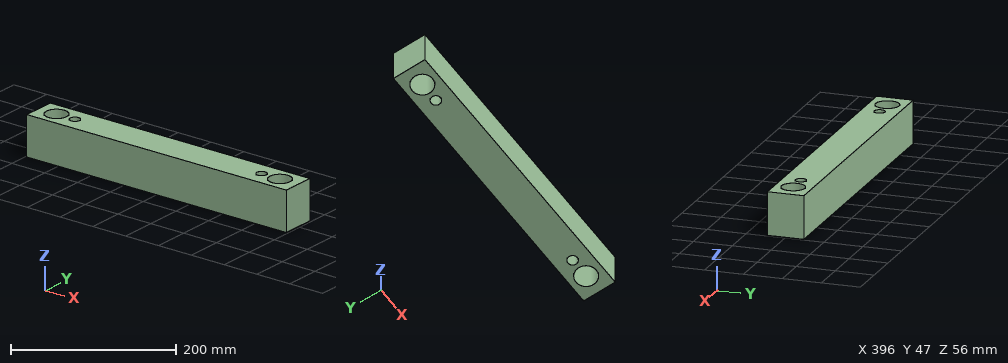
import cadquery as cq

length = 396
width = 47.0
height = 56.0

large_diameter = 30.0
large_end_distance = 27.7
small_diameter = 14.0
hole_spacing = 28.0


def hole_pair(body, diameter, end_distance):
    """Drill one through hole near each end of the bar."""
    offset = length / 2 - end_distance
    centres = [(-offset, 0), (offset, 0)]
    return body.faces(">Z").workplane(origin=(0, 0, 0)).pushPoints(centres).hole(diameter)


bar = cq.Workplane("XY").box(length, width, height)
bar = hole_pair(bar, large_diameter, large_end_distance)
result = hole_pair(bar, small_diameter, large_end_distance + hole_spacing)